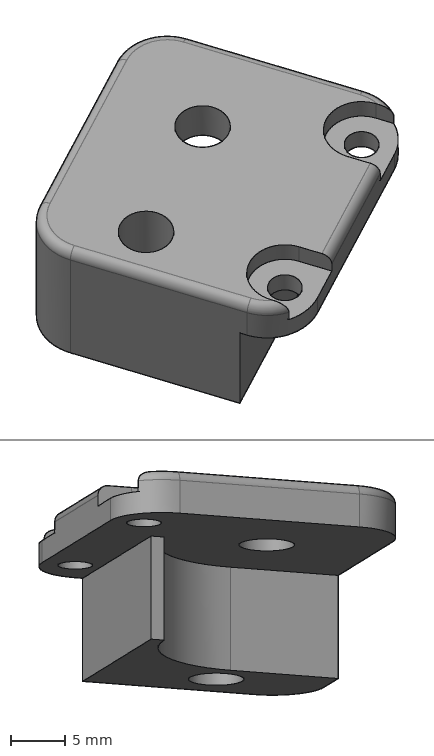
import cadquery as cq

length = 27.5
width = 29.0
height = 13.8
corner_radius = 5.0
top_fillet = 1.0

plate_thickness = 4.1
plate_bottom = height - plate_thickness
block_length = 21.78

main_hole_diameter = 5.1
main_hole_x = 10.5
rear_hole_y = 4.5
front_hole_y = -9.5
clearance_radius = 10.0

screw_hole_diameter = 3.2
screw_x = 24.25
screw_y = 9.5
recess_radius = 3.5
recess_depth = 2.0


def rounded_outline(depth):
    """Prism from Z = 0 with the full rounded rectangular outline."""
    return (
        cq.Workplane("XY")
        .box(length, width, depth, centered=(False, True, False))
        .edges("|Z")
        .fillet(corner_radius)
    )


def make_plate():
    plate = rounded_outline(plate_thickness).faces(">Z").edges().fillet(top_fillet)
    return plate.translate((0, 0, plate_bottom))


def make_block():
    """Block with a quarter-round relief concentric with the rear main hole."""
    block_width = rear_hole_y + width / 2
    envelope = cq.Workplane("XY").box(
        block_length, block_width, plate_bottom, centered=False
    ).translate((0, -width / 2, 0))
    block = rounded_outline(plate_bottom).intersect(envelope)

    relief_front = rear_hole_y - clearance_radius
    arc_offset = clearance_radius / 2**0.5
    relief = (
        cq.Workplane("XY")
        .moveTo(0, rear_hole_y)
        .lineTo(0, relief_front)
        .lineTo(main_hole_x, relief_front)
        .threePointArc(
            (main_hole_x + arc_offset, rear_hole_y - arc_offset),
            (main_hole_x + clearance_radius, rear_hole_y),
        )
        .close()
        .extrude(plate_bottom)
    )
    return block.cut(relief)


def make_recess(y):
    """Round-ended recess running out through the right side."""
    run_out = length - screw_x
    round_end = cq.Workplane("XY").circle(recess_radius).extrude(recess_depth)
    channel = cq.Workplane("XY").box(
        run_out, 2 * recess_radius, recess_depth, centered=(False, True, False)
    )
    return round_end.union(channel).translate((screw_x, y, height - recess_depth))


def make_hole(x, y, diameter):
    return cq.Workplane("XY").center(x, y).circle(diameter / 2).extrude(height)


result = make_plate().union(make_block())

for y in (front_hole_y, rear_hole_y):
    result = result.cut(make_hole(main_hole_x, y, main_hole_diameter))

for y in (-screw_y, screw_y):
    result = result.cut(make_recess(y))
    result = result.cut(make_hole(screw_x, y, screw_hole_diameter))